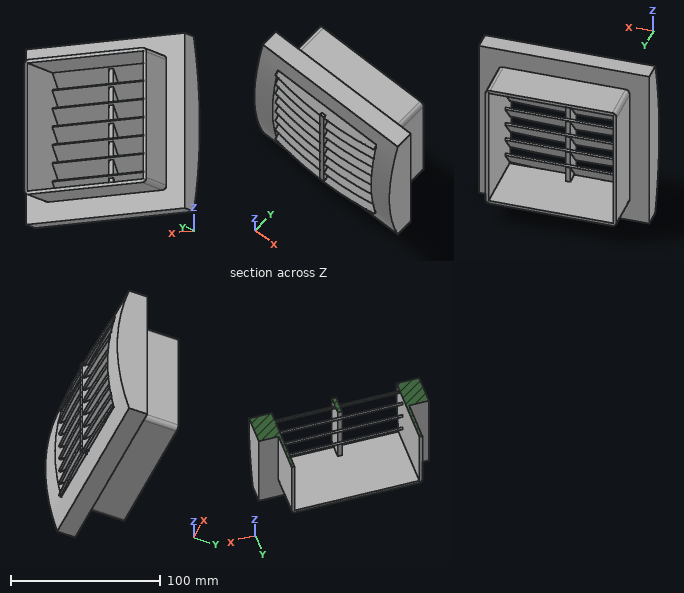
import cadquery as cq
import math

frame_size = 120.0
frame_edge_depth = 13.3
frame_depth = 22.0

box_size = 92.3
box_depth = 29.0
box_corner_radius = 3.1

opening_size = 87.6

slat_count = 8
slat_pitch = 12.5
slat_angle = math.radians(50)
slat_thickness = 1.5
slat_length = 20.4
slat_bow = 3.8
slat_setback = 0.4
top_slat_z = 41.9

bar_width = 3.4
bar_depth = slat_setback + slat_length * math.cos(slat_angle)

frame_front_y = -frame_depth


def make_frame():
    """Frame profile in the YZ plane, extruded over the full width."""
    half = frame_size / 2
    return (
        cq.Workplane("YZ")
        .moveTo(0, -half)
        .lineTo(-frame_edge_depth, -half)
        .threePointArc((frame_front_y, 0), (-frame_edge_depth, half))
        .lineTo(0, half)
        .close()
        .extrude(half, both=True)
    )


def make_box():
    """Rear box with rounded lengthwise edges."""
    return (
        cq.Workplane("XY")
        .box(box_size, box_depth, box_size)
        .edges("|Y")
        .fillet(box_corner_radius)
        .translate((0, box_depth / 2, 0))
    )


def make_opening():
    """Volume of the straight passage from front to back."""
    length = frame_depth + box_depth
    return (
        cq.Workplane("XY")
        .box(opening_size, length, opening_size)
        .translate((0, frame_front_y + length / 2, 0))
    )


def make_slat(tip_z):
    """Slat running back and up from its front edge, whose middle is at height tip_z."""
    half = opening_size / 2
    upper_face = cq.Plane(
        origin=(0, frame_front_y + slat_setback, tip_z),
        xDir=(1, 0, 0),
        normal=(0, -math.sin(slat_angle), math.cos(slat_angle)),
    )
    return (
        cq.Workplane(upper_face)
        .moveTo(-half, slat_bow)
        .threePointArc((0, 0), (half, slat_bow))
        .lineTo(half, slat_length)
        .lineTo(-half, slat_length)
        .close()
        .extrude(-slat_thickness)
    )


def make_bar():
    """Upright bar joining the slats."""
    return (
        cq.Workplane("XY")
        .box(bar_width, bar_depth, opening_size)
        .translate((0, frame_front_y + bar_depth / 2, 0))
    )


result = make_frame().union(make_box()).cut(make_opening())
for index in range(slat_count):
    result = result.union(make_slat(top_slat_z - index * slat_pitch))
result = result.union(make_bar())